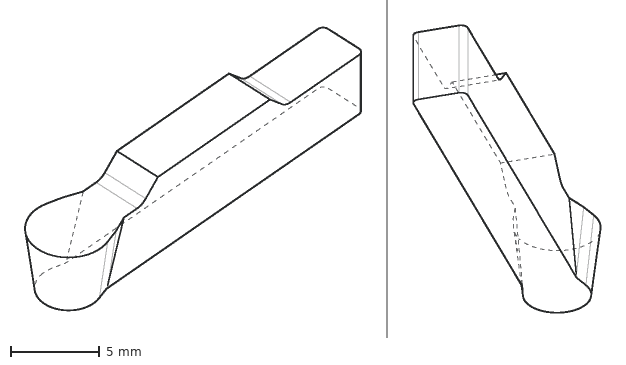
import cadquery as cq
import math

total_length = 25.04
total_height = 5.79
bar_width = 3.23
deck_height = 4.5
rear_corner_radius = 0.4

ramp_angle = 45
pad_front_from_tip = 8.13
pad_rear_from_end = 7.71
ramp_blend_radius = 1.0

nose_radius = 2.485
nose_draft = 6.8
flank_angle = 16.2
flank_end_from_tip = 4.17
neck_from_tip = 5.34

bar_front_from_tip = 3.0
nose_root_half_width = 0.8

tip_y = -nose_radius
rear_y = tip_y + total_length
half_bar = bar_width / 2


def make_bar():
    """Bar behind the nose, up to deck level, with rounded rear corners."""
    front_y = tip_y + bar_front_from_tip
    return (
        cq.Workplane("XY")
        .box(bar_width, rear_y - front_y, deck_height, centered=(True, False, False))
        .translate((0, front_y, 0))
        .edges("|Z and >Y")
        .fillet(rear_corner_radius)
    )


def make_pad():
    """Raised pad whose ramps run down into the deck through tangent arcs."""
    rise = total_height - deck_height
    front_top = tip_y + pad_front_from_tip
    rear_top = rear_y - pad_rear_from_end
    slope = math.radians(ramp_angle)
    half_turn = slope / 2
    tangent = ramp_blend_radius * math.tan(half_turn)
    blend_run = tangent * math.cos(slope)
    blend_rise = tangent * math.sin(slope)
    ramp_run = rise / math.tan(slope)
    mid_run = ramp_blend_radius * math.sin(half_turn)
    mid_rise = ramp_blend_radius * (1 - math.cos(half_turn))

    front_foot = front_top - ramp_run
    rear_foot = rear_top + ramp_run
    arc_front = front_foot - tangent
    arc_rear = rear_foot + tangent
    return (
        cq.Workplane("YZ")
        .moveTo(arc_front, deck_height)
        .threePointArc(
            (arc_front + mid_run, deck_height + mid_rise),
            (front_foot + blend_run, deck_height + blend_rise),
        )
        .lineTo(front_top, total_height)
        .lineTo(rear_top, total_height)
        .lineTo(rear_foot - blend_run, deck_height + blend_rise)
        .threePointArc(
            (arc_rear - mid_run, deck_height + mid_rise),
            (arc_rear, deck_height),
        )
        .close()
        .extrude(half_bar, both=True)
    )


def make_nose():
    """Drafted nose: round tip, tangent flanks, then straight sides into the bar."""
    angle = math.radians(flank_angle)
    tangent_x = nose_radius * math.cos(angle)
    tangent_y = nose_radius * math.sin(angle)
    flank_y = tip_y + flank_end_from_tip
    flank_x = tangent_x - (flank_y - tangent_y) * math.tan(angle)
    neck_y = tip_y + neck_from_tip

    root_x = nose_root_half_width
    root_y = neck_y + (half_bar - root_x) * (neck_y - flank_y) / (flank_x - half_bar)
    return (
        cq.Workplane("XY", origin=(0, 0, deck_height))
        .moveTo(tangent_x, tangent_y)
        .lineTo(flank_x, flank_y)
        .lineTo(root_x, root_y)
        .lineTo(-root_x, root_y)
        .lineTo(-flank_x, flank_y)
        .lineTo(-tangent_x, tangent_y)
        .threePointArc((0, tip_y), (tangent_x, tangent_y))
        .close()
        .extrude(-deck_height, taper=nose_draft)
    )


result = make_bar().union(make_pad()).union(make_nose()).clean()